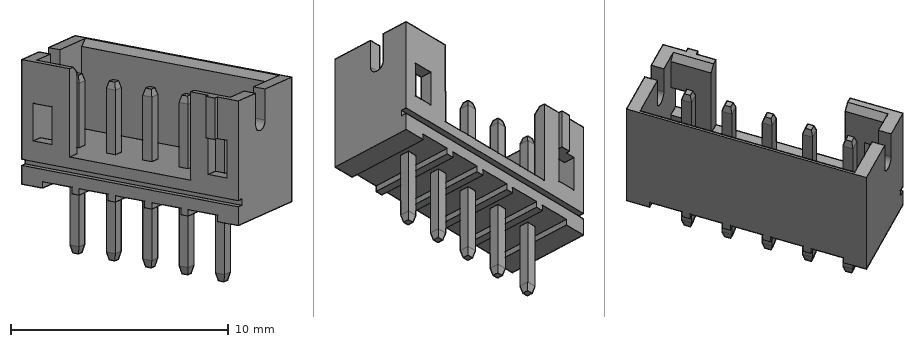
import cadquery as cq

LENGTH = 11.9
DEPTH = 4.5
HEIGHT = 6.0

END_WALL = 0.63
FRONT_WALL = 0.61
BACK_WALL = 0.42
FLOOR = 1.75
LEAD_IN_DEPTH = 0.31
LEAD_IN_HEIGHT = 0.31
CAVITY_LENGTH = LENGTH - 2 * END_WALL

FRONT_PANEL_WIDTH = 2.0
WINDOW_WIDTH = CAVITY_LENGTH - 2 * FRONT_PANEL_WIDTH
LATCH_WIDTH = 1.02
LATCH_BOTTOM = 2.19
LATCH_TOP = 4.0
KEY_WIDTH = 0.5
KEY_DEPTH = 0.2
GROOVE_DEPTH = 0.3
GROOVE_BOTTOM = 0.9
GROOVE_TOP = 1.2

PIN_COUNT = 5
PITCH = 2.0
PIN_WIDTH = 0.5
PIN_Y = 1.7
PIN_TIP_WIDTH = 0.31
PIN_RECESS = 0.8
PIN_TOP = HEIGHT - PIN_RECESS
PIN_BOTTOM = -3.4
UPPER_TAPER = 0.35
LOWER_TAPER = 0.39
PIN_POSITIONS = [(i - (PIN_COUNT - 1) / 2) * PITCH for i in range(PIN_COUNT)]

NOTCH_WIDTH = 0.8
NOTCH_DEPTH = 1.89
NOTCH_Y = PIN_Y - PIN_WIDTH / 2 + NOTCH_WIDTH / 2

CHANNEL_WIDTH = 1.61
CHANNEL_HEIGHT = 0.31


def block(x_range, y_range, z_range):
    """Box spanning the given (low, high) limits on each axis."""
    limits = (x_range, y_range, z_range)
    sizes = [high - low for low, high in limits]
    corner = tuple(low for low, high in limits)
    return cq.Workplane("XY").box(*sizes, centered=False).translate(corner)


def centred(width, middle=0.0):
    """Limits of a span of the given width about its middle."""
    return (middle - width / 2, middle + width / 2)


def cavity():
    """Open-topped cavity whose front and back walls have a sloped lead-in."""
    front = FRONT_WALL
    back = DEPTH - BACK_WALL
    slope_start = HEIGHT - LEAD_IN_HEIGHT
    profile = [
        (front, FLOOR),
        (back, FLOOR),
        (back, slope_start),
        (back + LEAD_IN_DEPTH, HEIGHT),
        (front - LEAD_IN_DEPTH, HEIGHT),
        (front, slope_start),
    ]
    return (
        cq.Workplane("YZ")
        .polyline(profile)
        .close()
        .extrude(CAVITY_LENGTH / 2, both=True)
    )


def front_window():
    """Opening in the front wall, from the cavity floor to the top."""
    return block(centred(WINDOW_WIDTH), (0, FRONT_WALL), (FLOOR, HEIGHT))


def latch_opening(side):
    """Opening through the front wall, flush with the inside of the end wall on that side."""
    middle = side * (CAVITY_LENGTH - LATCH_WIDTH) / 2
    return block(centred(LATCH_WIDTH, middle), (0, FRONT_WALL), (LATCH_BOTTOM, LATCH_TOP))


def front_groove():
    """Groove along the whole front face."""
    return block(centred(LENGTH), (0, GROOVE_DEPTH), (GROOVE_BOTTOM, GROOVE_TOP))


def end_notches():
    """Round-bottomed notch cut down through both end walls."""
    radius = NOTCH_WIDTH / 2
    arc_z = HEIGHT - NOTCH_DEPTH + radius
    slot = block(centred(LENGTH), centred(NOTCH_WIDTH, NOTCH_Y), (arc_z, HEIGHT))
    round_bottom = (
        cq.Workplane("YZ")
        .center(NOTCH_Y, arc_z)
        .circle(radius)
        .extrude(LENGTH / 2, both=True)
    )
    return slot.union(round_bottom)


def underside_channel(x):
    """Channel running front to back under one pin."""
    return block(centred(CHANNEL_WIDTH, x), (0, DEPTH), (0, CHANNEL_HEIGHT))


def key_rib():
    """Rib on the front face, rising from the +X latch opening to the top."""
    inner_x = CAVITY_LENGTH / 2 - LATCH_WIDTH
    return block((inner_x, inner_x + KEY_WIDTH), (-KEY_DEPTH, 0), (LATCH_TOP, HEIGHT))


def tapered_tip(x, base_z, tip_z):
    """Square pin end narrowing from base_z to tip_z."""
    return (
        cq.Workplane("XY", origin=(x, PIN_Y, base_z))
        .rect(PIN_WIDTH, PIN_WIDTH)
        .workplane(offset=tip_z - base_z)
        .rect(PIN_TIP_WIDTH, PIN_TIP_WIDTH)
        .loft()
    )


def pin(x):
    """Square pin with both ends tapered."""
    upper = PIN_TOP - UPPER_TAPER
    lower = PIN_BOTTOM + LOWER_TAPER
    shaft = block(centred(PIN_WIDTH, x), centred(PIN_WIDTH, PIN_Y), (lower, upper))
    return shaft.union(tapered_tip(x, upper, PIN_TOP)).union(tapered_tip(x, lower, PIN_BOTTOM))


housing = block(centred(LENGTH), (0, DEPTH), (0, HEIGHT))
housing = housing.cut(cavity()).cut(front_window()).cut(front_groove()).cut(end_notches())
for side in (-1, 1):
    housing = housing.cut(latch_opening(side))
for x in PIN_POSITIONS:
    housing = housing.cut(underside_channel(x))

result = housing.union(key_rib())
for x in PIN_POSITIONS:
    result = result.union(pin(x))